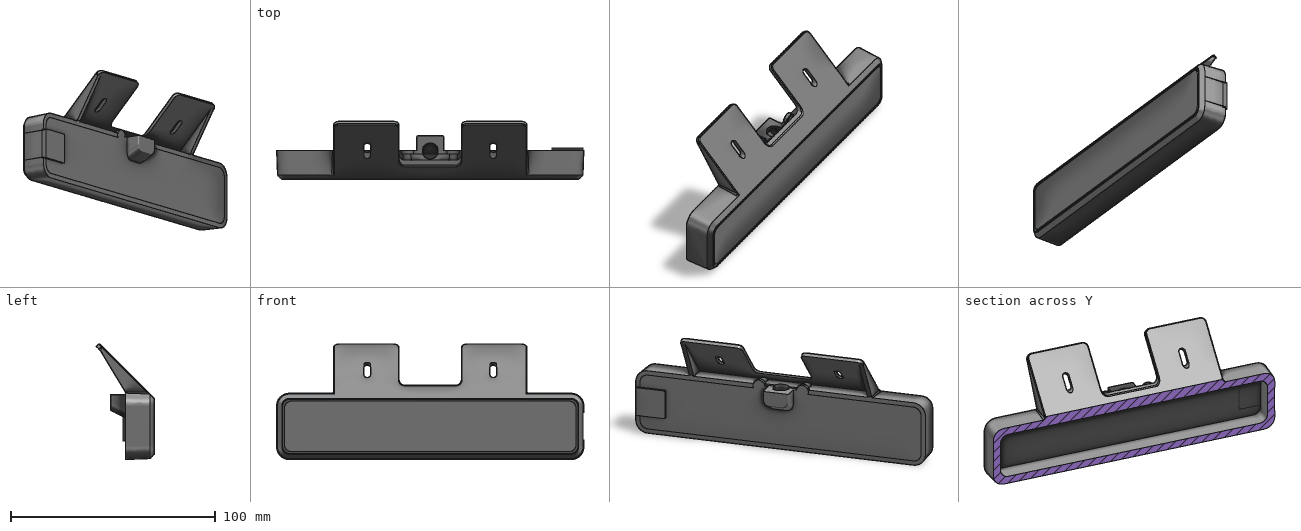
import cadquery as cq
import math


width = 150.0
height = 32.4
depth = 14.1
corner_radius = 6.3
draft_inset = 0.5
bevel = 2.1
bevel_angle = 45.0
front_wall = 3.8
cover_thickness = 1.8
cover_inset = 2.2
cavity_inset = 4.5

mid_z = height / 2
cover_front_y = depth - cover_thickness
bevel_top_z = height - draft_inset
plate_foot_z = bevel_top_z - bevel

panel_thickness = 1.5
rim_width = 0.5
panel_gap = 0.9
recess_radius = 3.3
recess_inset = draft_inset + bevel + rim_width
panel_inset = recess_inset + panel_gap

plate_back_y = 28.4
plate_thickness = 2.1
plate_half_width = 47.2
plate_corner_radius = 2.7
plate_edge_chamfer = 0.5
notch_half_width = 15.2
notch_floor_z = 36.3
slot_x = 30.8
slot_width = 3.3
slot_bottom_z = 40.0
slot_top_z = 47.4
gusset_width = 2.2
gusset_top_y = 26.4
gusset_foot_chamfer = 0.9

plate_drop = plate_thickness * math.sqrt(2)
plate_tip_y = plate_back_y - plate_drop / 2
plate_tip_z = plate_foot_z + plate_tip_y
plate_plane = cq.Plane(origin=(0, 0, plate_foot_z), xDir=(1, 0, 0), normal=(0, -1, 1))

tongue_top_z = 31.6
ear_x = 11.2
ear_z = 31.4
ear_diameter = 6.3
post_diameter = 4.4
post_front_y = 6.3
outlet_width = 13.2
outlet_back_y = 21.3
outlet_back_bottom_z = 24.0
outlet_front_bottom_z = 20.4
outlet_bottom_radius = 3.3
outlet_back_radius = 0.8
cable_diameter = 7.8
cable_y = 13.8
channel_width = 7.2
channel_wall = 2.2
cable_hole_bottom_z = height - cavity_inset

latch_left_x = 59.4
latch_right_x = 74.5
latch_height = 14.4
latch_front_y = 12.9
latch_back_y = 15.3
latch_edge_radius = 0.5
latch_flat_height = 13.5


def rounded_block(inset, y_front, y_back, radius):
    """Rounded rectangle, inset from the rear outline, between two Y planes."""
    block = cq.Workplane("XZ", origin=(0, y_front, mid_z)).rect(width - 2 * inset, height - 2 * inset)
    return block.extrude(y_front - y_back).edges("|Y").fillet(radius)


def prism_along_x(points, x_start, x_end):
    """Prism along X with a (Y, Z) outline."""
    return cq.Workplane("YZ", origin=(x_start, 0, 0)).polyline(points).close().extrude(x_end - x_start)


def limits_box(x_limits, y_limits, z_limits):
    """Box given by its limits along the three axes."""
    sizes = [end - start for start, end in (x_limits, y_limits, z_limits)]
    corner = (x_limits[0], y_limits[0], z_limits[0])
    return cq.Workplane("XY", origin=corner).box(*sizes, centered=False)


def cylinder_along_y(diameter, x, z, y_start, y_end):
    """Cylinder with its axis along Y."""
    return cq.Workplane("XZ", origin=(x, y_start, z)).circle(diameter / 2).extrude(y_start - y_end)


def make_shell():
    """Drafted body with a bevelled front, before it is hollowed."""
    draft_angle = math.degrees(math.atan(draft_inset / (depth - bevel)))
    outline = cq.Sketch().rect(width, height).vertices().fillet(corner_radius)
    drafted = cq.Workplane("XZ", origin=(0, depth, mid_z)).placeSketch(outline)
    front_outline = (
        cq.Workplane("XZ", origin=(0, bevel, mid_z))
        .sketch()
        .rect(width - 2 * draft_inset, height - 2 * draft_inset)
        .vertices()
        .fillet(corner_radius - draft_inset)
        .finalize()
    )
    return drafted.extrude(depth - bevel, taper=draft_angle).union(front_outline.extrude(bevel, taper=bevel_angle))


def make_slot(x):
    """Screw slot whose lower end runs level along Y and whose upper end is square to the plate."""
    end_shift = plate_drop / 2
    length = slot_top_z - slot_bottom_z - end_shift
    level_part = (
        cq.Workplane("XZ", origin=(x, 0, slot_bottom_z + length / 2))
        .slot2D(length, slot_width, 90)
        .extrude(-2 * plate_back_y)
    )
    square_part = (
        cq.Workplane(plate_plane)
        .center(x, (slot_top_z - length / 2 - plate_foot_z) * math.sqrt(2))
        .slot2D(length * math.sqrt(2), slot_width, 90)
        .extrude(-2 * plate_thickness)
    )
    return level_part.union(square_part)


def make_mounting_plate():
    """Sloped plate with two slotted tabs."""
    foot = bevel * math.sqrt(2)
    tip = plate_tip_y * math.sqrt(2)
    blank = (
        cq.Workplane(plate_plane)
        .center(0, (foot + tip) / 2)
        .rect(2 * plate_half_width, tip - foot)
        .extrude(-plate_thickness)
    )
    notch = limits_box(
        (-notch_half_width, notch_half_width), (0, 2 * plate_back_y), (notch_floor_z, 2 * plate_tip_z)
    )
    plate = blank.cut(notch.edges("|Y and <Z").fillet(plate_corner_radius))
    tip_zone = cq.selectors.BoxSelector(
        (-width, gusset_top_y, plate_foot_z + gusset_top_y - plate_drop),
        (width, 2 * plate_back_y, 2 * plate_tip_z),
    )
    across_plate = cq.selectors.ParallelDirSelector(cq.Vector(0, -1, 1))
    plate = plate.edges(across_plate & tip_zone).fillet(plate_corner_radius)
    front_face = cq.selectors.DirectionMinMaxSelector(cq.Vector(0, -1, 1), True)
    plate = plate.faces(front_face).edges("not <Z").chamfer(plate_edge_chamfer)

    for x in (-slot_x, slot_x):
        plate = plate.cut(make_slot(x))
    return plate


def make_gusset():
    """Triangular web under the outer edge of the -X tab, with a bevel along its foot."""
    outer_x = -plate_half_width
    web_top_z = plate_foot_z + gusset_top_y - plate_drop
    embed = plate_drop / 2
    web = prism_along_x(
        [
            (bevel + embed, bevel_top_z),
            (gusset_top_y, web_top_z + embed),
            (gusset_top_y, web_top_z),
            (depth, bevel_top_z + gusset_foot_chamfer),
            (depth, bevel_top_z),
        ],
        outer_x,
        outer_x + gusset_width,
    )
    foot_length = depth - bevel - gusset_foot_chamfer
    foot_bevel = (
        cq.Workplane("XZ", origin=(outer_x, depth, bevel_top_z))
        .polyline([(-gusset_foot_chamfer, 0), (0, gusset_foot_chamfer), (gusset_foot_chamfer, 0)])
        .close()
        .extrude(foot_length)
    )
    return web.union(foot_bevel)


def make_cable_hole():
    """Vertical round hole, half in the housing roof and half in the cable outlet."""
    hole = cq.Workplane("XY", origin=(0, cable_y, cable_hole_bottom_z)).circle(cable_diameter / 2)
    return hole.extrude(height - cable_hole_bottom_z)


def make_cover_blank():
    """Rear cover plate with its tongue and two round screw ears, without the cable outlet."""
    blank = rounded_block(cover_inset, cover_front_y, depth, corner_radius - cover_inset)
    tongue = limits_box((-ear_x, ear_x), (cover_front_y, depth), (mid_z, tongue_top_z))
    blank = blank.union(tongue)
    for x in (-ear_x, ear_x):
        blank = blank.union(cylinder_along_y(ear_diameter, x, ear_z, cover_front_y, depth))
    return blank


def make_tongue_opening():
    """Clearance in the housing roof above the cover's tongue."""
    return limits_box((-ear_x, ear_x), (cover_front_y, depth), (tongue_top_z, height))


def make_latch_flat():
    """Shallow flat on the +X wall, in line with the end of the latch."""
    half_height = latch_flat_height / 2
    return limits_box((latch_right_x, width), (0, depth), (mid_z - half_height, mid_z + half_height))


def make_housing():
    """Hollow shell with its mounting plate, gussets, screw posts and recesses for the other bodies."""
    housing = make_shell().union(make_mounting_plate())
    gusset = make_gusset()
    housing = housing.union(gusset).union(gusset.mirror("YZ"))
    for x in (-ear_x, ear_x):
        housing = housing.union(cylinder_along_y(post_diameter, x, ear_z, post_front_y, cover_front_y))
    cavity = rounded_block(cavity_inset, front_wall, depth, corner_radius - cover_inset)
    panel_recess = rounded_block(recess_inset, 0, panel_thickness, recess_radius)
    cutters = [cavity, panel_recess, make_cover_blank(), make_tongue_opening()]
    cutters += [make_cable_hole(), make_latch(), make_latch_flat()]
    for cutter in cutters:
        housing = housing.cut(cutter)
    return housing


def make_front_panel():
    """Flat panel on the floor of the front recess, with a gap all around."""
    return rounded_block(panel_inset, 0, panel_thickness, recess_radius)


def make_cable_outlet():
    """Hood on the rear of the cover, with a sloping underside and rounded lower edges."""
    hood = prism_along_x(
        [
            (cover_front_y, tongue_top_z),
            (outlet_back_y, tongue_top_z),
            (outlet_back_y, outlet_back_bottom_z),
            (depth, outlet_front_bottom_z),
            (cover_front_y, outlet_front_bottom_z),
        ],
        -outlet_width / 2,
        outlet_width / 2,
    )
    slope_vector = cq.Vector(0, outlet_back_y - depth, outlet_back_bottom_z - outlet_front_bottom_z)
    hood = hood.edges(cq.selectors.ParallelDirSelector(slope_vector)).fillet(outlet_bottom_radius)
    return hood.edges("|Z and >Y").fillet(outlet_back_radius)


def make_cable_channel():
    """Passage with a sloping floor from the cable hole to the inside of the housing."""
    channel_back_y = outlet_back_y - channel_wall
    channel_top_z = tongue_top_z - channel_wall
    return prism_along_x(
        [
            (cover_front_y, channel_top_z),
            (channel_back_y, channel_top_z),
            (channel_back_y, outlet_back_bottom_z + channel_wall),
            (cover_front_y, outlet_front_bottom_z + channel_wall),
        ],
        -channel_width / 2,
        channel_width / 2,
    )


def make_cover():
    """Rear cover with the cable outlet and a recess for the latch."""
    cover = make_cover_blank().union(make_cable_outlet())
    for recess in (make_cable_channel(), make_cable_hole(), make_latch()):
        cover = cover.cut(recess)
    return cover


def make_latch():
    """Flat latch set into the rear of the cover and through the +X rim."""
    half_height = latch_height / 2
    latch = limits_box(
        (latch_left_x, latch_right_x),
        (latch_front_y, latch_back_y),
        (mid_z - half_height, mid_z + half_height),
    )
    return latch.edges("|Y and <X").fillet(latch_edge_radius)


housing = make_housing()
front_panel = make_front_panel()
cover = make_cover()
latch = make_latch()

result = cq.Compound.makeCompound([housing.val(), front_panel.val(), cover.val(), latch.val()])